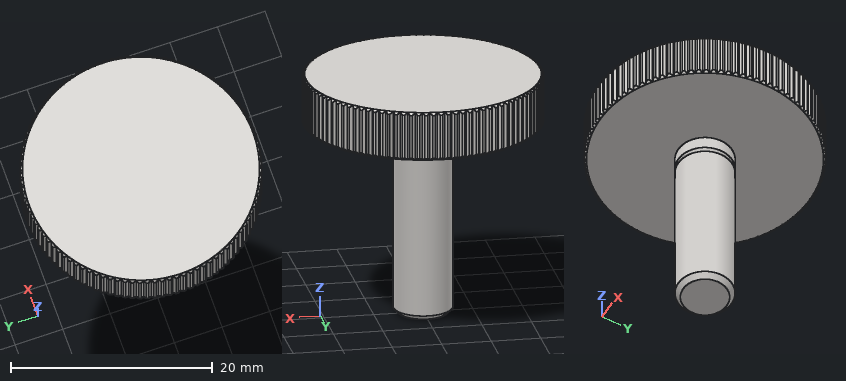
import cadquery as cq
import math

total_length = 25.0
head_diameter = 24.0
head_height = 5.0
head_chamfer = 0.25
shank_diameter = 6.0
tip_chamfer = 0.55

collar_height = 1.45
undercut_height = 0.55
undercut_depth = undercut_height

groove_count = 100
groove_depth = 0.25
groove_angle = 90.0

head_radius = head_diameter / 2
shank_radius = shank_diameter / 2
head_bottom = total_length - head_height
collar_bottom = head_bottom - collar_height
undercut_bottom = collar_bottom - undercut_height


def make_shank():
    """Collar, undercut, lower shank and chamfered tip, revolved about Z."""
    return (
        cq.Workplane("XZ")
        .moveTo(0, 0)
        .lineTo(shank_radius - tip_chamfer, 0)
        .lineTo(shank_radius, tip_chamfer)
        .lineTo(shank_radius, undercut_bottom)
        .lineTo(shank_radius - undercut_depth, undercut_bottom)
        .lineTo(shank_radius, collar_bottom)
        .lineTo(shank_radius, head_bottom)
        .lineTo(0, head_bottom)
        .close()
        .revolve(360, (0, 0, 0), (0, 1, 0))
    )


def polar_point(radius, angle):
    return radius * math.cos(angle), radius * math.sin(angle)


def make_knurled_prism():
    """Prism as tall as the head, with a V notch in its outline at every groove."""
    pitch = 2 * math.pi / groove_count
    half_mouth_width = groove_depth * math.tan(math.radians(groove_angle / 2))
    half_mouth = math.asin(half_mouth_width / head_radius)
    root_radius = head_radius - groove_depth

    outline = cq.Workplane("XY").workplane(offset=head_bottom).moveTo(root_radius, 0)
    for index in range(groove_count):
        groove = index * pitch
        next_groove = groove + pitch
        outline = outline.lineTo(*polar_point(head_radius, groove + half_mouth))
        outline = outline.threePointArc(
            polar_point(head_radius, groove + pitch / 2),
            polar_point(head_radius, next_groove - half_mouth),
        )
        if index < groove_count - 1:
            outline = outline.lineTo(*polar_point(root_radius, next_groove))
    return outline.close().extrude(head_height)


def make_head():
    """Chamfered disc trimmed by the knurled prism, so every tooth is chamfered."""
    disc = (
        cq.Workplane("XY")
        .workplane(offset=head_bottom)
        .circle(head_radius)
        .extrude(head_height)
        .edges("%CIRCLE")
        .chamfer(head_chamfer)
    )
    return disc.intersect(make_knurled_prism())


result = make_head().union(make_shank())